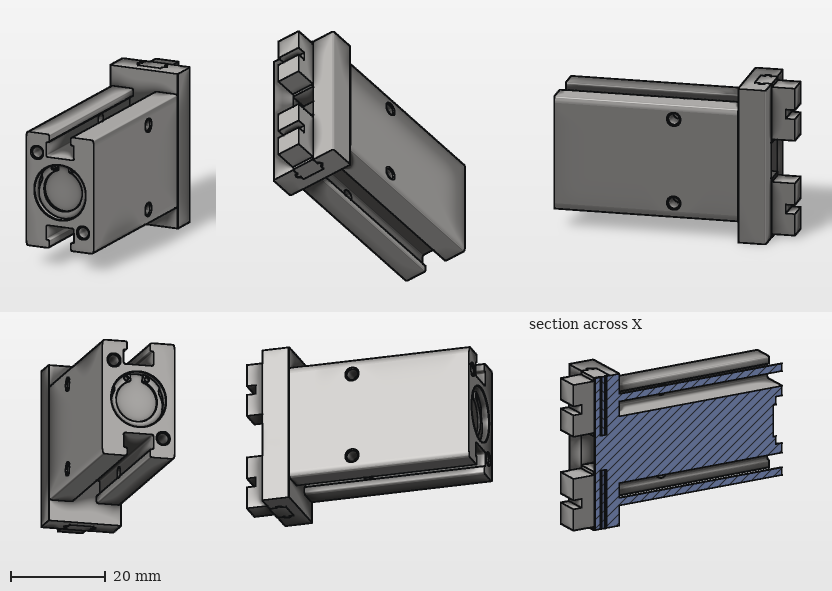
import cadquery as cq
import math

WIDTH = 16.0
BODY_LENGTH = 39.95
BODY_HEIGHT = 25.0
HEAD_LENGTH = 6.05
HEAD_HEIGHT = 34.0
HEAD_FRONT_RADIUS = 0.35
HEAD_REAR_CHAMFER = 0.15
HEAD_FRONT = BODY_LENGTH + HEAD_LENGTH

SIDE_ARC_RADIUS = 4.1
SIDE_ARC_ANGLE = math.radians(14.5)
CORNER_RADIUS = 0.5

SLOT_MOUTH_WIDTH = 5.05
SLOT_INNER_WIDTH = 6.6
SLOT_LIP = 1.8
SLOT_DEPTH = 5.0
SLOT_MOUTH_RADIUS = 0.45
SLOT_LIP_RADIUS = 0.35
SLOT_FLOOR_RADIUS = 0.5

HOLE_DIAMETER = 2.45
HOLE_MOUTH_DIAMETER = 3.0
HOLE_CHAMFER = (HOLE_MOUTH_DIAMETER - HOLE_DIAMETER) / 2
REAR_HOLE_X = 5.4
REAR_HOLE_Z = 8.2
REAR_HOLE_DEPTH = 8.0
CROSS_HOLE_Y = 26.0
CROSS_HOLE_Z = 9.25

BORE_DIAMETER = 12.0
BORE_CHAMFER = 0.13
CLIP_DEPTH = 1.5
CLIP_THICKNESS = 0.6
BORE_DEPTH = CLIP_DEPTH + CLIP_THICKNESS
CLIP_INNER_DIAMETER = 9.05
CLIP_OUTER_RADIUS = 5.65
CLIP_OUTER_OFFSET = 1.0
CLIP_EAR_DIAMETER = 3.4
CLIP_EAR_X = 4.85
CLIP_EAR_Z = 2.25
CLIP_EAR_START_Z = 1.55
CLIP_GAP_CORNER_RADIUS = 0.35
CLIP_GAP_INNER_WIDTH = 2.55
CLIP_GAP_OUTER_WIDTH = 2.95
CLIP_GAP_BOTTOM_Z = 4.1
CLIP_HOLE_DIAMETER = 1.0
CLIP_HOLE_X = 2.3
CLIP_HOLE_Z = 4.85

GUIDE_WIDTH = 5.35
GUIDE_FLOOR_Y = 42.35
GUIDE_GROOVE_Y = 43.9
GUIDE_GROOVE_RADIUS = 0.75

JAW_RAIL_RADIUS = 0.5
JAW_BASE_HEIGHT = 13.05
JAW_CENTER_Z = (HEAD_HEIGHT - JAW_BASE_HEIGHT) / 2
JAW_BASE_FRONT = HEAD_FRONT + 0.1
JAW_BASE_CHAMFER = 0.15
FINGER_TIP = 51.1
FINGER_HEIGHT = 11.55
NOTCH_SIZE = 2.0


def y_prism(plan, start_y, end_y):
    """Extrude plan(workplane), drawn with X right and Z up, from start_y to end_y."""
    plane = cq.Workplane("XZ", origin=(0, start_y, 0))
    return plan(plane).extrude(start_y - end_y)


def mirrored_points(x, height):
    """Two points of a plane, mirrored about its vertical axis."""
    return [(-x, height), (x, height)]


def body_outline(plane):
    half_width = WIDTH / 2
    half_height = BODY_HEIGHT / 2
    blend_z = half_height - CORNER_RADIUS * (1 - math.sin(SIDE_ARC_ANGLE))
    blend_x = half_width - SIDE_ARC_RADIUS * (1 - math.cos(SIDE_ARC_ANGLE))
    side_z = blend_z - SIDE_ARC_RADIUS * math.sin(SIDE_ARC_ANGLE)
    top_x = blend_x - CORNER_RADIUS * math.cos(SIDE_ARC_ANGLE)
    return (
        plane.moveTo(half_width, -side_z)
        .lineTo(half_width, side_z)
        .radiusArc((blend_x, blend_z), -SIDE_ARC_RADIUS)
        .radiusArc((top_x, half_height), -CORNER_RADIUS)
        .lineTo(-top_x, half_height)
        .radiusArc((-blend_x, blend_z), -CORNER_RADIUS)
        .radiusArc((-half_width, side_z), -SIDE_ARC_RADIUS)
        .lineTo(-half_width, -side_z)
        .radiusArc((-blend_x, -blend_z), -SIDE_ARC_RADIUS)
        .radiusArc((-top_x, -half_height), -CORNER_RADIUS)
        .lineTo(top_x, -half_height)
        .radiusArc((blend_x, -blend_z), -CORNER_RADIUS)
        .radiusArc((half_width, -side_z), -SIDE_ARC_RADIUS)
        .close()
    )


def t_slot():
    """T-slot cutter for the +Z face, flared at the mouth by the rounded lips."""
    top_z = BODY_HEIGHT / 2
    lip_z = top_z - SLOT_LIP
    floor_z = top_z - SLOT_DEPTH
    mouth_x = SLOT_MOUTH_WIDTH / 2
    inner_x = SLOT_INNER_WIDTH / 2

    def outline(plane):
        return (
            plane.moveTo(-mouth_x - SLOT_MOUTH_RADIUS, top_z)
            .radiusArc((-mouth_x, top_z - SLOT_MOUTH_RADIUS), SLOT_MOUTH_RADIUS)
            .lineTo(-mouth_x, lip_z)
            .lineTo(-inner_x, lip_z)
            .lineTo(-inner_x, floor_z)
            .lineTo(inner_x, floor_z)
            .lineTo(inner_x, lip_z)
            .lineTo(mouth_x, lip_z)
            .lineTo(mouth_x, top_z - SLOT_MOUTH_RADIUS)
            .radiusArc((mouth_x + SLOT_MOUTH_RADIUS, top_z), SLOT_MOUTH_RADIUS)
            .close()
        )

    margin = 0.05
    lip_edges = cq.selectors.BoxSelector(
        (-inner_x - margin, -margin, lip_z - margin),
        (inner_x + margin, BODY_LENGTH + margin, lip_z + margin),
    )
    slot = y_prism(outline, 0, BODY_LENGTH)
    slot = slot.edges("|Y").edges("<Z").fillet(SLOT_FLOOR_RADIUS)
    return slot.edges("|Y").edges(lip_edges).fillet(SLOT_LIP_RADIUS)


def chamfered_hole(depth):
    """Hole cutter entering along +Z of its own frame, with a flared mouth at the origin."""
    hole = cq.Workplane("XY").circle(HOLE_DIAMETER / 2).extrude(depth)
    mouth = (
        cq.Workplane("XY")
        .circle(HOLE_MOUTH_DIAMETER / 2)
        .workplane(offset=HOLE_CHAMFER)
        .circle(HOLE_DIAMETER / 2)
        .loft()
    )
    return hole.union(mouth)


def rear_holes():
    hole = chamfered_hole(REAR_HOLE_DEPTH).rotate((0, 0, 0), (1, 0, 0), -90)
    upper = hole.translate((-REAR_HOLE_X, 0, REAR_HOLE_Z))
    lower = hole.translate((REAR_HOLE_X, 0, -REAR_HOLE_Z))
    return upper.union(lower)


def cross_holes():
    half_hole = chamfered_hole(WIDTH / 2).rotate((0, 0, 0), (0, 1, 0), 90)
    half_hole = half_hole.translate((-WIDTH / 2, CROSS_HOLE_Y, CROSS_HOLE_Z))
    upper = half_hole.union(half_hole.mirror("YZ"))
    return upper.union(upper.mirror("XY"))


def round_mirrored_edges(shape, x, z, radius):
    """Fillet the pair of edges along Y nearest to (x, z) and (-x, z), at mid clip thickness."""
    middle_y = (CLIP_DEPTH + BORE_DEPTH) / 2
    for edge_x in (-x, x):
        nearest = cq.selectors.NearestToPointSelector((edge_x, middle_y, z))
        shape = shape.edges("|Y").edges(nearest).fillet(radius)
    return shape


def clip_prism(plan):
    """Prism as thick as the clip, at the clip's place in the bore."""
    return y_prism(plan, CLIP_DEPTH, BORE_DEPTH)


def clip():
    """Ring-shaped retaining clip, wide at its two ears and open between them."""
    ring = clip_prism(lambda plane: plane.circle(BORE_DIAMETER / 2))

    below_ears = (
        cq.Workplane("XY")
        .box(BORE_DIAMETER, BORE_DEPTH, BORE_DIAMETER, centered=(True, False, False))
        .translate((0, 0, CLIP_EAR_START_Z - BORE_DIAMETER))
    )
    ear_radius = CLIP_EAR_DIAMETER / 2
    ear_arc_centers = mirrored_points(CLIP_EAR_X + ear_radius, CLIP_EAR_Z)
    ear_ends = clip_prism(lambda plane: plane.pushPoints(ear_arc_centers).circle(ear_radius))
    arms = clip_prism(lambda plane: plane.center(0, -CLIP_OUTER_OFFSET).circle(CLIP_OUTER_RADIUS))
    crescents = ring.intersect(below_ears.union(ear_ends)).cut(arms)

    gap_inner_x = CLIP_GAP_INNER_WIDTH / 2
    gap_outer_x = CLIP_GAP_OUTER_WIDTH / 2
    gap_outline = [
        (-gap_inner_x, CLIP_GAP_BOTTOM_Z),
        (gap_inner_x, CLIP_GAP_BOTTOM_Z),
        (gap_outer_x, BORE_DIAMETER / 2),
        (-gap_outer_x, BORE_DIAMETER / 2),
    ]
    gap = clip_prism(lambda plane: plane.polyline(gap_outline).close())
    opening = clip_prism(lambda plane: plane.circle(CLIP_INNER_DIAMETER / 2)).union(gap)
    gap_corner_z = math.sqrt((CLIP_INNER_DIAMETER / 2) ** 2 - gap_inner_x**2)
    opening = round_mirrored_edges(opening, gap_inner_x, gap_corner_z, CLIP_GAP_CORNER_RADIUS)

    hole_centers = mirrored_points(CLIP_HOLE_X, CLIP_HOLE_Z)
    ear_holes = clip_prism(lambda plane: plane.pushPoints(hole_centers).circle(CLIP_HOLE_DIAMETER / 2))
    return ring.cut(crescents).cut(opening).cut(ear_holes)


def rear_bore():
    bore = y_prism(lambda plane: plane.circle(BORE_DIAMETER / 2), 0, BORE_DEPTH)
    mouth = (
        cq.Workplane("XZ")
        .circle(BORE_DIAMETER / 2 + BORE_CHAMFER)
        .workplane(offset=-BORE_CHAMFER)
        .circle(BORE_DIAMETER / 2)
        .loft()
    )
    return bore.union(mouth).cut(clip())


def head():
    block = y_prism(lambda plane: plane.rect(WIDTH, HEAD_HEIGHT), BODY_LENGTH, HEAD_FRONT)
    block = block.edges("|Z and >Y").fillet(HEAD_FRONT_RADIUS)
    return block.edges("|Z and <Y").chamfer(HEAD_REAR_CHAMFER)


def guide_bar(front_y, height):
    """Rectangular bar along Z that fills the guide slot up to front_y."""
    depth = front_y - GUIDE_FLOOR_Y
    bar = cq.Workplane("XY").box(GUIDE_WIDTH, depth, height, centered=(True, False, True))
    return bar.translate((0, GUIDE_FLOOR_Y, 0))


def side_rails(radius):
    """Round rails along Z, centred on the two side walls of the guide slot, as long as a jaw base."""
    return (
        cq.Workplane("XY", origin=(0, GUIDE_GROOVE_Y, -JAW_BASE_HEIGHT / 2))
        .pushPoints(mirrored_points(GUIDE_WIDTH / 2, 0))
        .circle(radius)
        .extrude(JAW_BASE_HEIGHT)
    )


def jaw_guide():
    """Guide cutter: a slot through the head, with side grooves as long as a jaw base at each end."""
    guide = guide_bar(HEAD_FRONT, HEAD_HEIGHT)
    for side in (1, -1):
        guide = guide.union(side_rails(GUIDE_GROOVE_RADIUS).translate((0, 0, side * JAW_CENTER_Z)))
    return guide


def make_housing():
    housing = y_prism(body_outline, 0, BODY_LENGTH).union(head())
    slot = t_slot()
    housing = housing.cut(slot).cut(slot.mirror("XY"))
    housing = housing.cut(rear_holes()).cut(cross_holes()).cut(rear_bore())
    return housing.cut(jaw_guide())


def make_jaw(side):
    """Jaw in the upper (side = 1) or lower (side = -1) half of the guide."""
    base = guide_bar(JAW_BASE_FRONT, JAW_BASE_HEIGHT)
    base = base.edges("|Z and >Y").chamfer(JAW_BASE_CHAMFER).union(side_rails(JAW_RAIL_RADIUS))
    finger_length = FINGER_TIP - HEAD_FRONT
    finger = (
        cq.Workplane("XY")
        .box(GUIDE_WIDTH, finger_length, FINGER_HEIGHT, centered=(True, False, True))
        .translate((0, HEAD_FRONT, 0))
    )
    notch = (
        cq.Workplane("XY")
        .box(GUIDE_WIDTH, NOTCH_SIZE, NOTCH_SIZE, centered=(True, False, True))
        .translate((0, FINGER_TIP - NOTCH_SIZE, 0))
    )
    return base.union(finger).cut(notch).translate((0, 0, side * JAW_CENTER_Z))


housing = make_housing()
jaws = [make_jaw(side) for side in (1, -1)]

result = cq.Compound.makeCompound([housing.solids().val(), *[jaw.solids().val() for jaw in jaws]])